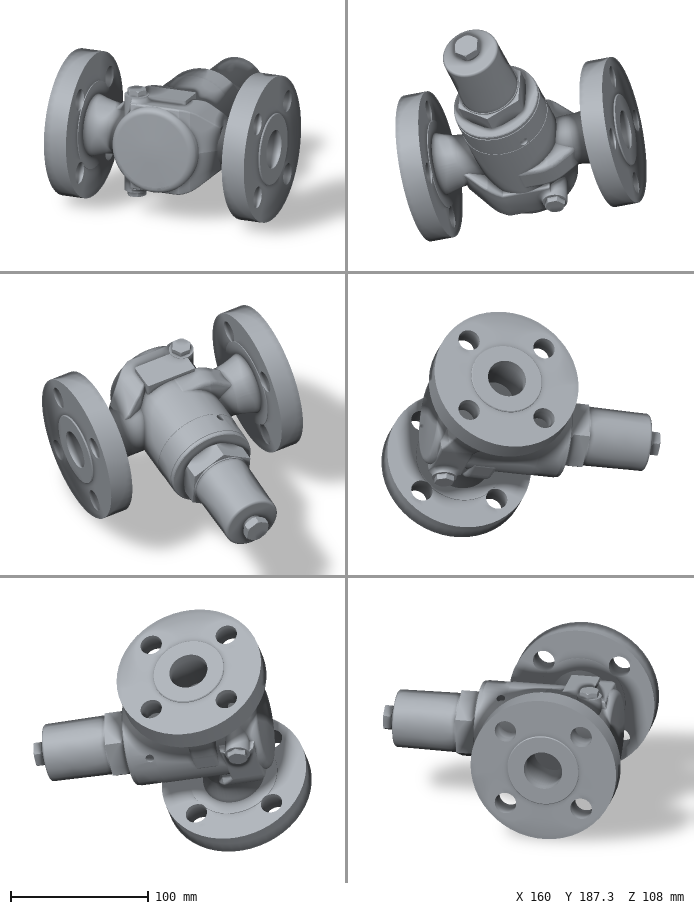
import cadquery as cq
import math


face_to_face = 160.0
flange_diameter = 108.0
flange_thickness = 17.5
raised_face_diameter = 53.2
raised_face_height = 1.1
raised_face_chamfer = 0.5
flange_hub_diameter = 65.0
flange_hub_height = 0.5
bolt_hole_diameter = 16.0
bolt_hole_offset = 28.0
neck_root_radius = 23.0
pipe_radius = 18.5
pipe_end_x = 43.5
bore_diameter = 28.5
bore_depth = 37.5

overall_length = 187.3
stem_top_y = overall_length - flange_diameter / 2
body_bottom_y = -39.7
body_bottom_dome = 1.1
body_bottom_fillet = 4.9
body_radius = 32.8
cap_start_y = 40.3
cap_radius = 32.5
cap_lip_y = 58.5
cap_lip_radius = 32.0
cap_lip_chamfer = 0.5
cap_top_y = 61.6
nut_corner_radius = 26.5
nut_turn = 4.0
nut_top_y = 76.5
nut_chamfer = 3.0
sleeve_collar_radius = 22.2
sleeve_collar_height = 1.1
sleeve_base_radius = 21.63
sleeve_top_radius = 21.0
sleeve_top_y = 124.4
sleeve_top_fillet = 1.9
screw_neck_diameter = 15.0
screw_head_corner_radius = 9.7
screw_head_height = 6.2
screw_head_chamfer = 1.0

vent_diameter = 6.2
vent_depth = 6.4
vent_y = 44.2
vent_angle = 30.0

pad_z = 33.0
pad_half_length = 16.5
shoulder_radius = 22.5
shoulder_slope = 41.0
casing_end_x = 44.0
pad_trim = 1.9
inlet_fillet = 3.0
outlet_fillet = 1.5

plug_x = -19.0
plug_y = -22.1
boss_radius = 9.0
boss_height = 36.5
boss_flare = 3.5
plug_corner_radius = 7.5
plug_height = 40.6
plug_chamfer = 0.7
plate_left_x = -19.3
plate_right_x = 19.5
plate_low_y = -22.3
plate_high_y = -1.1
plate_top_z = 36.1
plate_corner_fillet = 1.5


def hexagon(corner_radius, turn, low, high, chamfer, chamfered_faces):
    """Hexagonal prism along Z whose corners are bevelled at the chosen end faces."""
    prism = (
        cq.Workplane("XY", origin=(0, 0, low))
        .polygon(6, 2 * corner_radius)
        .extrude(high - low)
        .rotate((0, 0, 0), (0, 0, 1), turn)
    )
    bevelled_round = (
        cq.Workplane("XY", origin=(0, 0, low))
        .circle(corner_radius)
        .extrude(high - low)
        .faces(chamfered_faces)
        .edges()
        .chamfer(chamfer)
    )
    return prism.intersect(bevelled_round)


def stand_along_y(shape):
    """Turn a shape built along Z so that it points along +Y."""
    return shape.rotate((0, 0, 0), (1, 0, 0), -90)


def make_flanged_end():
    """Flange, raised face and flared neck on the +X side."""
    face_x = face_to_face / 2
    front_x = face_x - raised_face_height
    back_x = front_x - flange_thickness
    hub_x = back_x - flange_hub_height
    raised_radius = raised_face_diameter / 2
    flare_mid = (hub_x * 0.5 + pipe_end_x * 0.5, pipe_radius * 0.66 + neck_root_radius * 0.34)
    end = (
        cq.Workplane("XY")
        .moveTo(0, 0)
        .lineTo(0, pipe_radius)
        .lineTo(pipe_end_x, pipe_radius)
        .threePointArc(flare_mid, (hub_x, neck_root_radius))
        .lineTo(hub_x, flange_hub_diameter / 2)
        .lineTo(back_x, flange_hub_diameter / 2)
        .lineTo(back_x, flange_diameter / 2)
        .lineTo(front_x, flange_diameter / 2)
        .lineTo(front_x, raised_radius)
        .lineTo(face_x - raised_face_chamfer, raised_radius)
        .lineTo(face_x, raised_radius - raised_face_chamfer)
        .lineTo(face_x, 0)
        .close()
        .revolve(360, (0, 0, 0), (1, 0, 0))
    )
    bolt_holes = (
        cq.Workplane("YZ", origin=(hub_x, 0, 0))
        .rect(2 * bolt_hole_offset, 2 * bolt_hole_offset, forConstruction=True)
        .vertices()
        .circle(bolt_hole_diameter / 2)
        .extrude(face_x - hub_x)
    )
    return end.cut(bolt_holes)


def make_bore():
    """Blind bore of the +X end."""
    return (
        cq.Workplane("YZ", origin=(face_to_face / 2 - bore_depth, 0, 0))
        .circle(bore_diameter / 2)
        .extrude(bore_depth)
    )


def make_round_body():
    """Body, cap, sleeve and screw neck turned about the Y axis."""
    bottom_edge_y = body_bottom_y + body_bottom_dome
    fillet_shift = body_bottom_fillet * (1 - math.sqrt(0.5))
    top_shift = sleeve_top_fillet * (1 - math.sqrt(0.5))
    collar_top_y = nut_top_y + sleeve_collar_height
    screw_head_y = stem_top_y - screw_head_height
    return (
        cq.Workplane("XY")
        .moveTo(0, body_bottom_y)
        .lineTo(body_radius - body_bottom_fillet, bottom_edge_y)
        .threePointArc(
            (body_radius - fillet_shift, bottom_edge_y + fillet_shift),
            (body_radius, bottom_edge_y + body_bottom_fillet),
        )
        .lineTo(body_radius, cap_start_y)
        .lineTo(cap_radius, cap_start_y)
        .lineTo(cap_radius, cap_lip_y)
        .lineTo(cap_lip_radius, cap_lip_y)
        .lineTo(cap_lip_radius, cap_top_y - cap_lip_chamfer)
        .lineTo(cap_lip_radius - cap_lip_chamfer, cap_top_y)
        .lineTo(sleeve_collar_radius, cap_top_y)
        .lineTo(sleeve_collar_radius, collar_top_y)
        .lineTo(sleeve_base_radius, collar_top_y)
        .lineTo(sleeve_top_radius, sleeve_top_y - sleeve_top_fillet)
        .threePointArc(
            (sleeve_top_radius - top_shift, sleeve_top_y - top_shift),
            (sleeve_top_radius - sleeve_top_fillet, sleeve_top_y),
        )
        .lineTo(screw_neck_diameter / 2, sleeve_top_y)
        .lineTo(screw_neck_diameter / 2, screw_head_y)
        .lineTo(0, screw_head_y)
        .close()
        .revolve(360, (0, 0, 0), (0, 1, 0))
    )


def make_hexagons():
    """Housing nut and adjusting screw head on the Y axis."""
    turn = 30 - nut_turn
    nut = hexagon(nut_corner_radius, turn, cap_top_y, nut_top_y, nut_chamfer, "<Z")
    screw_head = hexagon(
        screw_head_corner_radius,
        turn,
        stem_top_y - screw_head_height,
        stem_top_y,
        screw_head_chamfer,
        "<Z or >Z",
    )
    return stand_along_y(nut.union(screw_head))


def make_vents():
    """Radial blind holes in the cap wall, on the -X side."""
    vents = cq.Workplane("XY")
    for angle in (-vent_angle, vent_angle - 180):
        hole = (
            cq.Workplane("XY", origin=(0, vent_y, cap_radius - vent_depth))
            .circle(vent_diameter / 2)
            .extrude(2 * vent_depth)
            .rotate((0, 0, 0), (0, 1, 0), angle)
        )
        vents = vents.add(hole)
    return vents.combine()


def shoulder_point(angle):
    """Point on the +X shoulder arc, at an angle in degrees from the pad's edge."""
    turn = math.radians(angle)
    return (
        pad_half_length + shoulder_radius * math.sin(turn),
        pad_z - shoulder_radius * (1 - math.cos(turn)),
    )


def make_shoulder_outline():
    """Outline of the upper half seen along Y: flat pad, round shoulders and straight slopes."""
    mid_x, mid_z = shoulder_point(shoulder_slope / 2)
    low_x, low_z = shoulder_point(shoulder_slope)
    end_z = low_z - (casing_end_x - low_x) * math.tan(math.radians(shoulder_slope))
    return (
        cq.Workplane("XZ", origin=(0, 2 * body_radius, 0))
        .moveTo(-pad_half_length, pad_z)
        .lineTo(pad_half_length, pad_z)
        .threePointArc((mid_x, mid_z), (low_x, low_z))
        .lineTo(casing_end_x, end_z)
        .lineTo(casing_end_x, 0)
        .lineTo(-casing_end_x, 0)
        .lineTo(-casing_end_x, end_z)
        .lineTo(-low_x, low_z)
        .threePointArc((-mid_x, mid_z), (-pad_half_length, pad_z))
        .close()
        .extrude(4 * body_radius)
    )


def cast_passage(pad_outline, parting_outline, edge_fillet):
    """Passage drafted from its pads down to the parting plane, the same above and below it."""
    upper_half = (
        cq.Workplane("XY", origin=(0, 0, pad_z + pad_trim))
        .polyline(pad_outline)
        .close()
        .workplane(offset=-pad_z - pad_trim)
        .polyline(parting_outline)
        .close()
        .loft(ruled=True)
        .intersect(make_shoulder_outline())
    )
    above_parting = cq.selectors.BoxSelector(
        (-face_to_face, -face_to_face, pad_trim / 2),
        (face_to_face, face_to_face, face_to_face),
        boundingbox=True,
    )
    upper_half = upper_half.edges(above_parting).edges("not(|Y)").fillet(edge_fillet)
    return upper_half.union(upper_half.mirror("XY"))


def make_inlet_passage():
    """Passage that climbs from the -X pipe towards the cap."""
    pad_outline = [(-56.2, -4.9), (-56.2, 3.0), (-24.3, 12.4), (0, 13.7), (0, -4.9)]
    parting_outline = [(-56.2, -10.1), (-56.2, 9.4), (-24.3, 18.0), (0, 19.0), (0, -10.1)]
    return cast_passage(pad_outline, parting_outline, inlet_fillet)


def make_outlet_passage():
    """Passage that sweeps from the bottom of the body up to the +X pipe."""
    pad_outline = [
        (plug_x, -9.4),
        (16.9, -9.4),
        (26.2, -1.5),
        (38.5, 3.0),
        (56.2, 3.0),
        (56.2, 1.9),
        (25.8, -29.2),
        (19.1, -33.3),
        (plug_x, -33.3),
    ]
    parting_outline = [
        (plug_x, -4.1),
        (15.0, -4.1),
        (24.3, 3.4),
        (36.7, 8.2),
        (56.2, 8.2),
        (56.2, -5.6),
        (28.7, -33.7),
        (20.2, -38.2),
        (plug_x, -38.2),
    ]
    return cast_passage(pad_outline, parting_outline, outlet_fillet)


def make_test_plug():
    """Boss with a hexagon plug, on the +Z side."""
    boss = cq.Workplane("XY").circle(boss_radius).extrude(boss_height)
    plug = hexagon(plug_corner_radius, 0, boss_height, plug_height, plug_chamfer, ">Z")
    return boss.union(plug).translate((plug_x, plug_y, 0))


def make_boss_foot():
    """Concave flare between the boss and the +Z pad, on the half that lies over the pad."""
    shift = boss_flare * (1 - math.sqrt(0.5))
    flare_top_z = pad_z + boss_flare
    return (
        cq.Workplane("XZ")
        .moveTo(0, pad_z)
        .lineTo(boss_radius + boss_flare, pad_z)
        .threePointArc((boss_radius + shift, pad_z + shift), (boss_radius, flare_top_z))
        .lineTo(0, flare_top_z)
        .close()
        .revolve(180, (0, 0, 0), (0, -1, 0))
        .rotate((0, 0, 0), (0, 0, 1), 90)
        .translate((plug_x, plug_y, 0))
    )


def make_plate():
    """Name plate standing on the +Z pad."""
    return (
        cq.Workplane("XY")
        .moveTo(plate_left_x, plate_low_y)
        .lineTo(plate_right_x, plate_low_y)
        .lineTo(plate_right_x, plate_high_y)
        .lineTo(plate_left_x, plate_high_y)
        .close()
        .extrude(plate_top_z)
        .edges("|Z and >X")
        .fillet(plate_corner_fillet)
    )


right_end = make_flanged_end()
right_bore = make_bore()
test_plug = make_test_plug().union(make_boss_foot())

result = (
    make_round_body()
    .union(make_inlet_passage())
    .union(make_outlet_passage())
    .union(right_end)
    .union(right_end.mirror("YZ"))
    .union(make_hexagons())
    .union(test_plug)
    .union(test_plug.mirror("XY"))
    .union(make_plate())
    .cut(make_vents())
    .cut(right_bore)
    .cut(right_bore.mirror("YZ"))
)